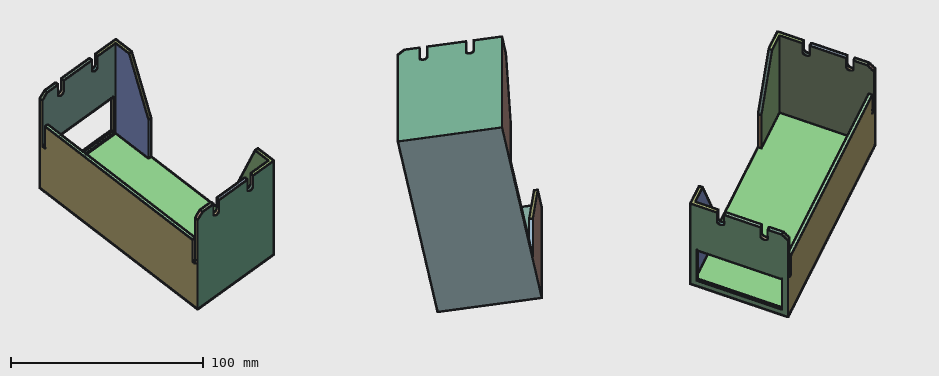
import cadquery as cq

LENGTH = 118.0
DEPTH = 55.0
HEIGHT = 73.0

WALL = 2.0
FLOOR = 3.0

FRONT_HEIGHT = 51.0
FRONT_BEVEL = 2.0
RELIEF_WIDTH = 2.0
RELIEF_BOTTOM = 34.0

CORNER_CHAMFER = 3.5

NOTCH_WIDTH = 4.0
NOTCH_DEPTH = 10.0
NOTCH_CENTRES = (13.5, 38.0)

WINDOW_MARGIN = 3.5
WINDOW_BOTTOM = 5.0
WINDOW_TOP = 32.5
SILL_BEVEL = 1.0

FLANGE_TOP_WIDTH = 12.0
FLANGE_SLOPE_START = 33.0
FLANGE_WIDTH = 26.5

HALF_LENGTH = LENGTH / 2
INNER_FACE = -HALF_LENGTH + WALL


def block(x_range, y_range, z_range):
    """Axis-aligned box given by its lower and upper limits on each axis."""
    (x0, x1), (y0, y1), (z0, z1) = x_range, y_range, z_range
    return cq.Workplane("XY").box(x1 - x0, y1 - y0, z1 - z0, centered=False).translate((x0, y0, z0))


def mirrored_pair(left):
    """The given body together with its mirror image at the other end."""
    return left.union(left.mirror("YZ"))


def floor_plate():
    return block((-HALF_LENGTH, HALF_LENGTH), (0, DEPTH), (0, FLOOR))


def front_wall():
    wall = block((-HALF_LENGTH, HALF_LENGTH), (0, WALL), (0, FRONT_HEIGHT))
    gap = block((INNER_FACE, INNER_FACE + RELIEF_WIDTH), (0, WALL), (RELIEF_BOTTOM, FRONT_HEIGHT))
    return wall.cut(mirrored_pair(gap))


def inside_bevel():
    """Triangular strip filling the corner between floor and front wall."""
    return (
        cq.Workplane("YZ", origin=(-HALF_LENGTH, 0, 0))
        .moveTo(WALL, FLOOR)
        .lineTo(WALL + FRONT_BEVEL, FLOOR)
        .lineTo(WALL, FLOOR + FRONT_BEVEL)
        .close()
        .extrude(LENGTH)
    )


def notch(centre):
    """Open-topped slot with a round bottom, reaching through one end wall."""
    radius = NOTCH_WIDTH / 2
    arc_level = HEIGHT - NOTCH_DEPTH + radius
    return (
        cq.Workplane("YZ", origin=(-HALF_LENGTH, 0, 0))
        .moveTo(centre - radius, HEIGHT)
        .lineTo(centre - radius, arc_level)
        .threePointArc((centre, HEIGHT - NOTCH_DEPTH), (centre + radius, arc_level))
        .lineTo(centre + radius, HEIGHT)
        .close()
        .extrude(WALL)
    )


def end_wall():
    """Wall at the -X end, with its chamfered corner and notches."""
    wall = (
        cq.Workplane("YZ", origin=(-HALF_LENGTH, 0, 0))
        .moveTo(0, 0)
        .lineTo(DEPTH, 0)
        .lineTo(DEPTH, HEIGHT)
        .lineTo(CORNER_CHAMFER, HEIGHT)
        .lineTo(0, HEIGHT - CORNER_CHAMFER)
        .close()
        .extrude(WALL)
    )
    for centre in NOTCH_CENTRES:
        wall = wall.cut(notch(centre))
    return wall


def rear_flange():
    """Partial rear wall at the -X end, narrowing toward the top."""
    return (
        cq.Workplane("XZ", origin=(-HALF_LENGTH, DEPTH, 0))
        .moveTo(0, 0)
        .lineTo(FLANGE_WIDTH, 0)
        .lineTo(FLANGE_WIDTH, FLANGE_SLOPE_START)
        .lineTo(FLANGE_TOP_WIDTH, HEIGHT)
        .lineTo(0, HEIGHT)
        .close()
        .extrude(WALL)
    )


def window():
    """Rectangular opening through the -X end wall only, with a bevelled inner sill edge."""
    return (
        cq.Workplane("XZ", origin=(0, DEPTH - WINDOW_MARGIN, 0))
        .moveTo(-HALF_LENGTH, WINDOW_BOTTOM)
        .lineTo(INNER_FACE - SILL_BEVEL, WINDOW_BOTTOM)
        .lineTo(INNER_FACE, WINDOW_BOTTOM - SILL_BEVEL)
        .lineTo(INNER_FACE, WINDOW_TOP)
        .lineTo(-HALF_LENGTH, WINDOW_TOP)
        .close()
        .extrude(DEPTH - 2 * WINDOW_MARGIN)
    )


body = floor_plate().union(front_wall()).union(inside_bevel())
body = body.union(mirrored_pair(end_wall().union(rear_flange())))
result = body.cut(window())